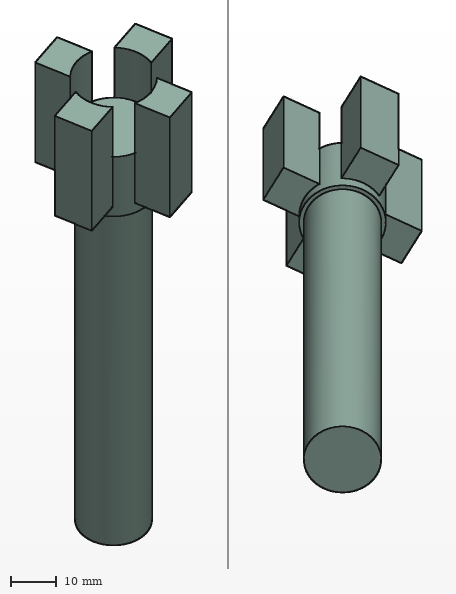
import cadquery as cq

total_height = 133.0
shaft_diameter = 17.0
shaft_length = 100.0
collar_diameter = 19.0
collar_height = 18.0
prong_span = 34.5
prong_width = 9.5
prong_height = 30.0

prong_bottom = total_height - prong_height
collar_top = shaft_length + collar_height


def cylinder(diameter, bottom, top):
    """Upright cylinder on the Z axis."""
    return cq.Workplane("XY").workplane(offset=bottom).circle(diameter / 2).extrude(top - bottom)


def cross_bar(length_x, length_y):
    """Bar through the axis whose two ends become opposite prongs."""
    return cq.Workplane("XY").workplane(offset=prong_bottom).rect(length_x, length_y).extrude(prong_height)


prongs = cross_bar(prong_span, prong_width).union(cross_bar(prong_width, prong_span))
prongs = prongs.cut(cylinder(collar_diameter, collar_top, total_height))

shaft = cylinder(shaft_diameter, 0, shaft_length)
collar = cylinder(collar_diameter, shaft_length, collar_top)

result = shaft.union(collar).union(prongs)